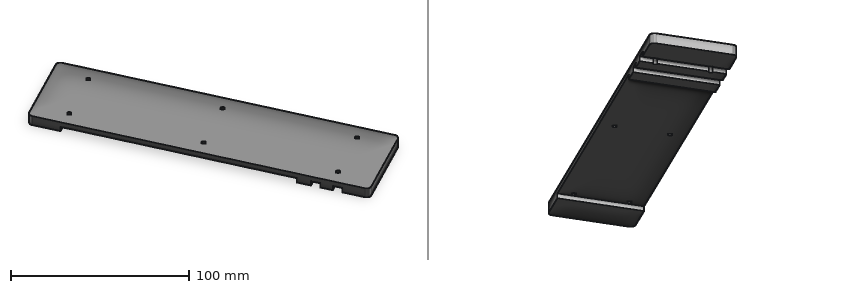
import cadquery as cq

length = 203.2
width = 50.8
thickness = 6.5
corner_radius = 2.8

channel_depth = 3.0
recess_start = 19.5
recess_end = 159.7
slot_width = 5.5
slot_starts = (168.2, 181.3)

hole_diameter = 2.5
hole_columns = 3
hole_rows = 2
hole_pitch_x = 79.9
hole_pitch_y = 32.5
first_hole_x = 21.5

left_end = -length / 2


def cross_channel(start, channel_width):
    """Cutter for an underside channel, starting at a distance from the left end."""
    return (
        cq.Workplane("XY")
        .box(channel_width, width, channel_depth, centered=(False, True, False))
        .translate((left_end + start, 0, 0))
    )


plate = (
    cq.Workplane("XY")
    .box(length, width, thickness, centered=(True, True, False))
    .edges("|Z")
    .fillet(corner_radius)
)

plate = plate.cut(cross_channel(recess_start, recess_end - recess_start))
for slot_start in slot_starts:
    plate = plate.cut(cross_channel(slot_start, slot_width))

hole_grid_center_x = left_end + first_hole_x + hole_pitch_x * (hole_columns - 1) / 2
holes = (
    cq.Workplane("XY")
    .center(hole_grid_center_x, 0)
    .rarray(hole_pitch_x, hole_pitch_y, hole_columns, hole_rows)
    .circle(hole_diameter / 2)
    .extrude(thickness)
)

result = plate.cut(holes)